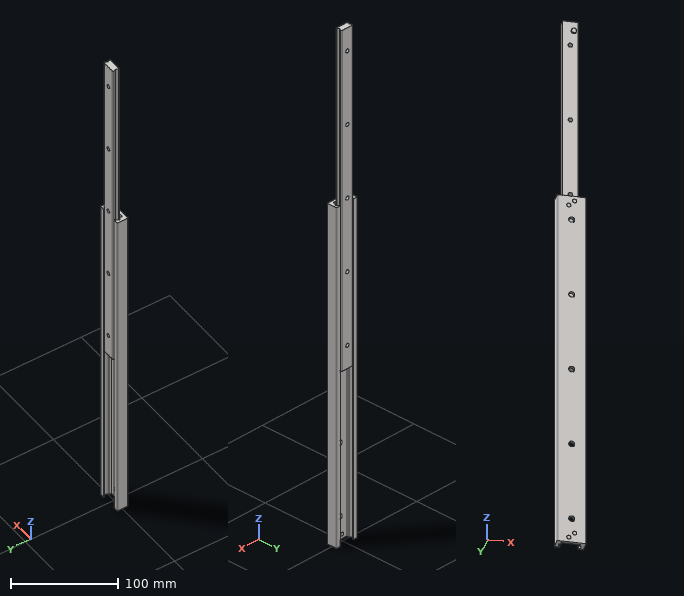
import cadquery as cq

TOTAL_LENGTH = 560.0
TOTAL_DEPTH = 13.0
RAIL_LENGTH = 370.0
INNER_BOTTOM = TOTAL_LENGTH - RAIL_LENGTH

OUTER_WIDTH = 28.0
OUTER_DEPTH = 12.5
WEB = 3.5
FLANGE = 5.0
CORNER_RADIUS = 0.85
OUTER_GROOVE_DIAMETER = 5.0
OUTER_GROOVE_X = 8.5
OUTER_GROOVE_Y = 8.5

INNER_WIDTH = 15.0
CLEARANCE = 2.0
INNER_FRONT = WEB + CLEARANCE
INNER_CORNER_RADIUS = 1.0
V_GROOVE_DEPTH = 1.0
V_GROOVE_HEIGHT = 5.0
V_GROOVE_Y = 9.0

OUTER_HOLE_DIAMETER = 5.5
INNER_HOLE_DIAMETER = 4.0
HOLE_COUNT = 5
HOLE_SPAN = 320.0
HOLE_PITCH = HOLE_SPAN / (HOLE_COUNT - 1)
HOLE_END = 25.0

RIVET_DIAMETER = 4.0
RIVET_X = 3.0
RIVET_NEAR = 5.0
RIVET_FAR = 2 * RIVET_NEAR
RIVET_PLACES = [
    (RIVET_X, RAIL_LENGTH - RIVET_NEAR),
    (-RIVET_X, RAIL_LENGTH - RIVET_FAR),
    (RIVET_X, RIVET_FAR),
    (-RIVET_X, RIVET_NEAR),
]

PIN_DIAMETER = 5.0
PIN_X = 3.2
PIN_Z = TOTAL_LENGTH - 10.0
PIN_PROTRUSION = 1.5
PIN_EMBED = 2.0


def bar(width, front, back, bottom):
    """Rectangular bar of rail length, centred on X."""
    profile = cq.Workplane("XY", origin=(0, (front + back) / 2, bottom)).rect(width, back - front)
    return profile.extrude(RAIL_LENGTH)


def cross_cylinder(diameter, x, z, front, back):
    """Cylinder along Y."""
    start = cq.Vector(x, front, z)
    return cq.Workplane(cq.Solid.makeCylinder(diameter / 2, back - front, start, cq.Vector(0, 1, 0)))


def drill_screw_holes(rail, diameter, bottom):
    for index in range(HOLE_COUNT):
        z = bottom + HOLE_END + index * HOLE_PITCH
        rail = rail.cut(cross_cylinder(diameter, 0, z, 0, TOTAL_DEPTH))
    return rail


def make_rivet(x, z):
    return cross_cylinder(RIVET_DIAMETER, x, z, 0, WEB)


def make_stop_pin():
    return cross_cylinder(PIN_DIAMETER, PIN_X, PIN_Z, INNER_FRONT - PIN_PROTRUSION, INNER_FRONT + PIN_EMBED)


def make_outer_rail(rivets):
    rail = bar(OUTER_WIDTH, 0, OUTER_DEPTH, 0).edges("|Z").fillet(CORNER_RADIUS)
    rail = rail.cut(bar(OUTER_WIDTH - 2 * FLANGE, WEB, OUTER_DEPTH, 0))
    groove_axes = [(-OUTER_GROOVE_X, OUTER_GROOVE_Y), (OUTER_GROOVE_X, OUTER_GROOVE_Y)]
    grooves = cq.Workplane("XY").pushPoints(groove_axes).circle(OUTER_GROOVE_DIAMETER / 2)
    rail = rail.cut(grooves.extrude(RAIL_LENGTH))
    rail = drill_screw_holes(rail, OUTER_HOLE_DIAMETER, 0)
    for rivet in rivets:
        rail = rail.cut(rivet)
    return rail


def v_groove(side):
    """V-shaped cutter along the inner rail; side is -1 or 1."""
    edge_x = side * INNER_WIDTH / 2
    corners = [
        (edge_x, V_GROOVE_Y - V_GROOVE_HEIGHT / 2),
        (edge_x - side * V_GROOVE_DEPTH, V_GROOVE_Y),
        (edge_x, V_GROOVE_Y + V_GROOVE_HEIGHT / 2),
    ]
    return cq.Workplane("XY", origin=(0, 0, INNER_BOTTOM)).polyline(corners).close().extrude(RAIL_LENGTH)


def make_inner_rail(pin):
    rail = bar(INNER_WIDTH, INNER_FRONT, TOTAL_DEPTH, INNER_BOTTOM)
    rail = rail.edges("|Z and >Y").fillet(INNER_CORNER_RADIUS)
    for side in (-1, 1):
        rail = rail.cut(v_groove(side))
    rail = drill_screw_holes(rail, INNER_HOLE_DIAMETER, INNER_BOTTOM)
    return rail.cut(pin)


rivets = [make_rivet(x, z) for x, z in RIVET_PLACES]
stop_pin = make_stop_pin()
outer_rail = make_outer_rail(rivets)
inner_rail = make_inner_rail(stop_pin)

result = cq.Compound.makeCompound(
    [outer_rail.val(), inner_rail.val(), stop_pin.val(), *[rivet.val() for rivet in rivets]]
)